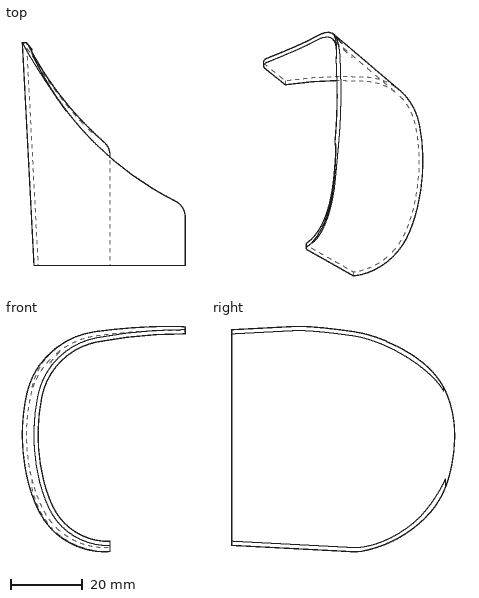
import cadquery as cq
import math

LENGTH = 62.11
HALF_WIDTH = 22.71
WALL = 1.2
DRAFT = math.radians(3)

SECTION_ARCS = [(128.6, 12.16), (19.38, 67.66), (53.1, 25.68), (39.3, 10.61), (16.94, 68.0)]
SECTION_START = (25.34, 29.35)
SECTION_START_HEADING = 178.6

UPPER_LIP_X = HALF_WIDTH
LOWER_LIP_X = 1.8

TIP_CURVE = [
    (36.2, -31.15),
    (43.3, -29.0),
    (51.5, -24.0),
    (58.3, -16.0),
    (61.1, -8.0),
    (LENGTH, 0.3),
    (61.35, 8.1),
    (58.15, 16.0),
    (51.1, 23.0),
    (43.1, 27.3),
]

UPPER_EDGE_CENTER = (59.0, 95.95)
UPPER_EDGE_RADIUS = 87.2
LOWER_EDGE_CENTER = (61.0, 103.75)
LOWER_EDGE_RADIUS = 92.3
LIP_CORNER_RADIUS = 5.0
EDGE_START_X = -20.0

MARGIN = 10.0
TRIM_REACH = 50.0


def polar(center, radius, angle):
    return (center[0] + radius * math.cos(angle), center[1] + radius * math.sin(angle))


def section_segments():
    """Return (center, radius, start angle, end angle) of each arc of the inner line."""
    heading = math.radians(SECTION_START_HEADING)
    point = SECTION_START
    segments = []
    for radius, sweep in SECTION_ARCS:
        start = heading - math.pi / 2
        end = start + math.radians(sweep)
        center = polar(point, -radius, start)
        segments.append((center, radius, start, end))
        point = polar(center, radius, end)
        heading += math.radians(sweep)
    return segments


def section_wire(y):
    """Closed C section at distance y from the near end face."""
    growth = y * math.tan(DRAFT)
    plane = cq.Workplane(cq.Plane(origin=(0, y, 0), xDir=(1, 0, 0), normal=(0, -1, 0)))
    segments = section_segments()
    first_center, first_radius, first_angle, _ = segments[0]
    wire = plane.moveTo(*polar(first_center, first_radius + growth, first_angle))
    for center, radius, start, end in segments:
        inner = radius + growth
        wire = wire.threePointArc(polar(center, inner, (start + end) / 2), polar(center, inner, end))
    last_center, last_radius, _, last_angle = segments[-1]
    wire = wire.lineTo(*polar(last_center, last_radius + growth + WALL, last_angle))
    for center, radius, start, end in reversed(segments):
        outer = radius + growth + WALL
        wire = wire.threePointArc(polar(center, outer, (start + end) / 2), polar(center, outer, start))
    return wire.close().val()


def tapered_shell():
    return cq.Workplane(cq.Solid.makeLoft([section_wire(0), section_wire(LENGTH)], True))


def tip_body():
    """Everything kept by the rounded end curve, as a prism along X."""
    low_y, low_z = TIP_CURVE[0]
    high_y, _ = TIP_CURVE[-1]
    return (
        cq.Workplane("YZ")
        .moveTo(0, -TRIM_REACH)
        .lineTo(low_y, -TRIM_REACH)
        .lineTo(low_y, low_z)
        .spline(TIP_CURVE[1:], includeCurrent=True)
        .lineTo(high_y, TRIM_REACH)
        .lineTo(0, TRIM_REACH)
        .close()
        .extrude(TRIM_REACH, both=True)
    )


def edge_body(center, radius, lip_x, height):
    """Everything kept by one swept-back edge and its lip, as a prism along Z."""
    left_x = -HALF_WIDTH - MARGIN
    corner_x = lip_x - LIP_CORNER_RADIUS
    reach = radius + LIP_CORNER_RADIUS
    corner_y = center[1] - math.sqrt(reach**2 - (corner_x - center[0]) ** 2)
    corner = (corner_x, corner_y)
    touch_angle = math.atan2(center[1] - corner_y, center[0] - corner_x)
    touch = polar(corner, LIP_CORNER_RADIUS, touch_angle)

    start_angle = -math.acos((EDGE_START_X - center[0]) / radius)
    end_angle = math.atan2(touch[1] - center[1], touch[0] - center[0])
    edge_start = polar(center, radius, start_angle)
    edge_middle = polar(center, radius, (start_angle + end_angle) / 2)
    return (
        cq.Workplane("XY")
        .moveTo(left_x, 0)
        .lineTo(left_x, LENGTH + MARGIN)
        .lineTo(EDGE_START_X, LENGTH + MARGIN)
        .lineTo(*edge_start)
        .threePointArc(edge_middle, touch)
        .threePointArc(polar(corner, LIP_CORNER_RADIUS, touch_angle / 2), (lip_x, corner_y))
        .lineTo(lip_x, 0)
        .close()
        .extrude(height)
    )


upper_body = edge_body(UPPER_EDGE_CENTER, UPPER_EDGE_RADIUS, UPPER_LIP_X, TRIM_REACH)
lower_body = edge_body(LOWER_EDGE_CENTER, LOWER_EDGE_RADIUS, LOWER_LIP_X, -TRIM_REACH)

result = tapered_shell().intersect(tip_body()).intersect(upper_body.union(lower_body))